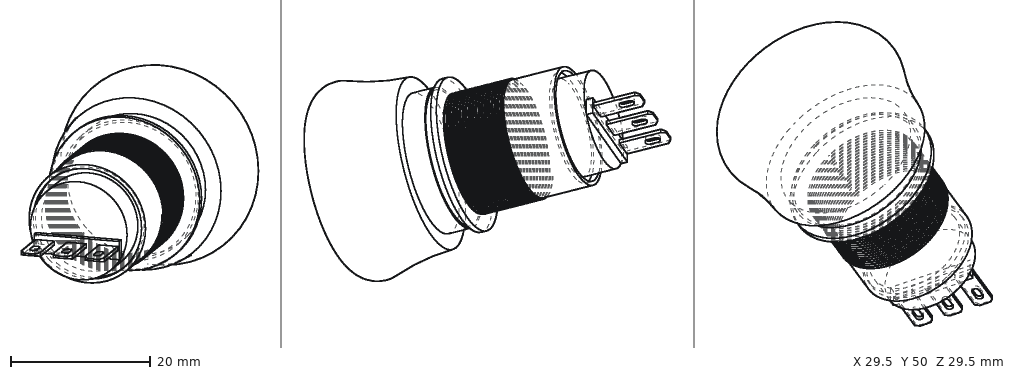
import cadquery as cq
import math


head_top_y = 20.6
head_bottom_y = 5.7
head_max_radius = 14.745
head_bottom_radius = 12.79
head_rim_radius = 4.0
head_rim_end_y = 15.3

neck_radius = 10.45
flange_radius = 11.4
flange_height = 2.2
flange_edge_height = 0.9

sleeve_radius = 8.8
sleeve_end_y = -17.3
sleeve_inner_radius = 8.2
recess_depth = 1.05

thread_radius = 9.0
thread_pitch = 0.5
thread_length = 9.65
thread_run_in = 0.5
thread_root_width = 0.4
thread_crest_width = 0.06
thread_embed = 0.04

core_radius = 7.3
core_end_y = -21.3

bar_width = 12.8
bar_height = 2.71
bar_length = 1.0
bar_z = -2.17

tab_count = 3
tab_spacing = 4.82
tab_width = 2.85
tab_thickness = 0.6
tab_z = -1.87
tab_end_y = -29.38
tip_length = 0.6
tip_side_inset = 0.55
tip_face_inset = 0.15

slot_width = 1.1
slot_length = 2.25
slot_y = -26.9


def y_cylinder(radius, y_low, y_high):
    """Cylinder on the Y axis between two heights."""
    return cq.Workplane("XZ", origin=(0, y_high, 0)).circle(radius).extrude(y_high - y_low)


def make_head():
    """Dished mushroom head: convex rim running tangentially into a concave flank."""
    rim_center_r = head_max_radius - head_rim_radius
    rim_center_y = head_top_y - head_rim_radius
    rim_end_angle = math.asin((head_rim_end_y - rim_center_y) / head_rim_radius)
    rim_middle_angle = (math.pi / 2 + rim_end_angle) / 2

    def rim_point(angle):
        return (
            rim_center_r + head_rim_radius * math.cos(angle),
            rim_center_y + head_rim_radius * math.sin(angle),
        )

    profile = (
        cq.Workplane("XY")
        .moveTo(0, head_top_y)
        .lineTo(rim_center_r, head_top_y)
        .threePointArc(rim_point(rim_middle_angle), rim_point(rim_end_angle))
        .tangentArcPoint((head_bottom_radius, head_bottom_y), relative=False)
        .lineTo(0, head_bottom_y)
        .close()
    )
    return profile.revolve(360, (0, 0, 0), (0, 1, 0))


def make_flange():
    """Panel flange with a 45 degree bevel on the side facing the head."""
    bevel = flange_height - flange_edge_height
    return y_cylinder(flange_radius, 0, flange_height).faces(">Y").chamfer(bevel)


def make_thread():
    """Right-hand helical ridge, sunk a little into the sleeve and run into the flange."""
    half_root = thread_root_width / 2
    half_crest = thread_crest_width / 2
    flank_slope = (half_root - half_crest) / (thread_radius - sleeve_radius)
    half_base = half_root + thread_embed * flank_slope
    base_radius = sleeve_radius - thread_embed
    helix_height = thread_length + thread_run_in - half_root
    helix = cq.Wire.makeHelix(thread_pitch, helix_height, sleeve_radius)
    ridge = (
        cq.Workplane("XZ")
        .moveTo(base_radius, -half_base)
        .lineTo(thread_radius, -half_crest)
        .lineTo(thread_radius, half_crest)
        .lineTo(base_radius, half_base)
        .close()
        .sweep(cq.Workplane(helix), isFrenet=True)
    )
    return ridge.rotate((0, 0, 0), (1, 0, 0), -90).translate((0, half_root - thread_length, 0))


def make_body():
    """Neck, flange, threaded sleeve and core, with the annular recess around the core."""
    recess_floor_y = sleeve_end_y + recess_depth
    neck = y_cylinder(neck_radius, flange_height, head_bottom_y)
    sleeve = y_cylinder(sleeve_radius, sleeve_end_y, flange_height)
    recess = y_cylinder(sleeve_inner_radius, sleeve_end_y, recess_floor_y)
    core = y_cylinder(core_radius, core_end_y, recess_floor_y)
    threaded_sleeve = sleeve.union(make_thread())
    return threaded_sleeve.union(make_flange()).union(neck).cut(recess).union(core)


def make_bar():
    """Insulating bar that carries the terminals."""
    bar_middle = (0, core_end_y - bar_length / 2, bar_z)
    return cq.Workplane("XY", origin=bar_middle).box(bar_width, bar_length, bar_height)


def make_tab(x):
    """Flat terminal with a slotted eye and a tapered tip."""
    shoulder_y = tab_end_y + tip_length
    blade_length = core_end_y - shoulder_y
    blade = (
        cq.Workplane("XZ", origin=(x, core_end_y, tab_z))
        .rect(tab_width, tab_thickness)
        .extrude(blade_length)
    )
    tip = (
        cq.Workplane("XZ", origin=(x, shoulder_y, tab_z))
        .rect(tab_width, tab_thickness)
        .workplane(offset=tip_length)
        .rect(tab_width - 2 * tip_side_inset, tab_thickness - 2 * tip_face_inset)
        .loft(ruled=True)
    )
    slot = (
        cq.Workplane("XY", origin=(x, slot_y, tab_z))
        .slot2D(slot_length, slot_width, 90)
        .extrude(tab_thickness, both=True)
    )
    return blade.union(tip).cut(slot)


result = make_head().union(make_body()).union(make_bar())
first_tab_x = -tab_spacing * (tab_count - 1) / 2
for index in range(tab_count):
    result = result.union(make_tab(first_tab_x + index * tab_spacing))